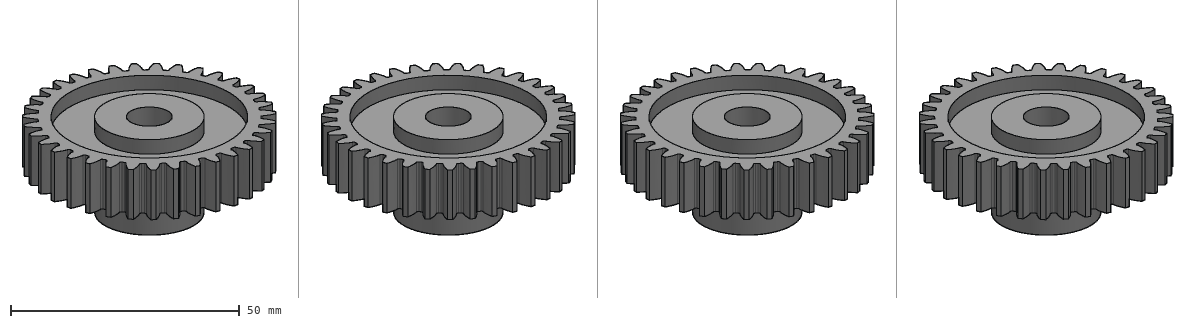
import cadquery as cq
import math

tooth_count = 35
tip_diameter = 55.5
module = tip_diameter / (tooth_count + 2)
pressure_angle = math.radians(20)
root_clearance = 0.25 * module
root_fillet = 0.45
flank_points = 8

total_height = 23.0
gear_width = 12.0
hub_diameter = 23.95
bore_diameter = 10.0
recess_diameter = 43.0
recess_depth = 3.5

tip_radius = tip_diameter / 2
pitch_radius = tooth_count * module / 2
root_radius = pitch_radius - module - root_clearance
base_radius = pitch_radius * math.cos(pressure_angle)
tooth_pitch = 2 * math.pi / tooth_count
first_tooth_angle = -math.pi / 2
gear_bottom = total_height - gear_width


def polar(radius, angle):
    return (radius * math.cos(angle), radius * math.sin(angle))


def involute(angle):
    return math.tan(angle) - angle


def half_tooth_angle(radius):
    """Half the angle a tooth spans at a radius on its involute flank."""
    flank_angle = math.acos(base_radius / radius)
    return tooth_pitch / 4 + involute(pressure_angle) - involute(flank_angle)


def gear_profile():
    """Closed gear outline: involute flanks above the base circle, radial flanks below it."""
    flank_step = (tip_radius - base_radius) / (flank_points - 1)
    flank_radii = [base_radius + i * flank_step for i in range(flank_points - 1)] + [tip_radius]
    base_half = half_tooth_angle(base_radius)

    outline = cq.Workplane("XY").moveTo(*polar(root_radius, first_tooth_angle - base_half))
    for tooth in range(tooth_count):
        centre = first_tooth_angle + tooth * tooth_pitch
        rising = [polar(r, centre - half_tooth_angle(r)) for r in flank_radii]
        falling = [polar(r, centre + half_tooth_angle(r)) for r in reversed(flank_radii)]
        gap_centre = centre + tooth_pitch / 2
        next_root = polar(root_radius, centre + tooth_pitch - base_half)

        outline = outline.lineTo(*rising[0]).spline(rising[1:], includeCurrent=True)
        outline = outline.threePointArc(polar(tip_radius, centre), falling[0])
        outline = outline.spline(falling[1:], includeCurrent=True)
        outline = outline.lineTo(*polar(root_radius, centre + base_half))
        outline = outline.threePointArc(polar(root_radius, gap_centre), next_root)
    return outline.close()


def toothed_blank():
    """Toothed disc with a rounded corner at the foot of every flank."""
    blank = gear_profile().extrude(gear_width)
    foot_limit = (root_radius + base_radius) / 2
    foot_edges = [
        edge for edge in blank.edges("|Z").vals()
        if math.hypot(edge.Center().x, edge.Center().y) < foot_limit
    ]
    return blank.newObject(foot_edges).fillet(root_fillet)


def recess():
    """Ring-shaped pocket in the top face, between the rim and the hub."""
    ring = cq.Workplane("XY").circle(recess_diameter / 2).circle(hub_diameter / 2)
    return ring.extrude(recess_depth).translate((0, 0, total_height - recess_depth))


hub = cq.Workplane("XY").circle(hub_diameter / 2).extrude(total_height)
bore = cq.Workplane("XY").circle(bore_diameter / 2).extrude(total_height)

gear = toothed_blank().translate((0, 0, gear_bottom)).cut(recess())
result = gear.union(hub).cut(bore)